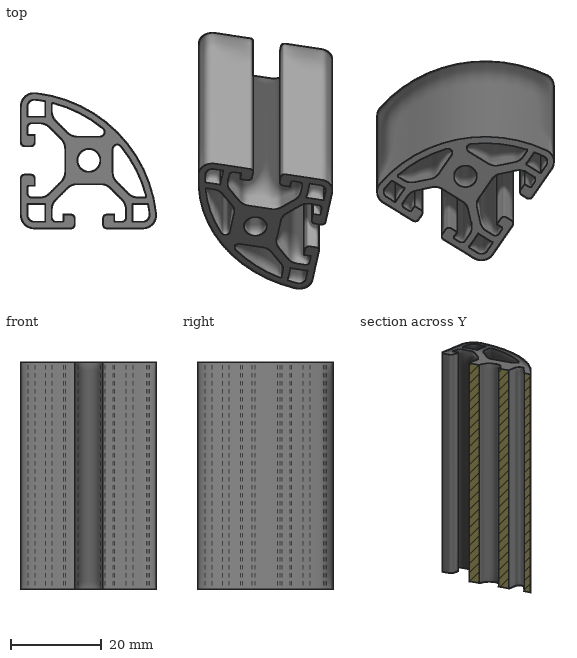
import cadquery as cq
import math

length = 50.0
half_width = 15.0
wall = 1.5
corner_radius = 3.0
bore_diameter = 5.0

mouth_half = 3.1
lip_depth = 3.1
lip_rounding = 0.9
hook_half = 5.6
slot_half = 8.15
hook_rounding = 0.25
slot_corner_rounding = 0.9
bend_rounding = 3.0

core_half = 5.25
diagonal_offset = 1.4
pocket_tip_rounding = 1.0
pocket_end_rounding = 0.25

arc_radius = 2 * half_width
inner_arc_radius = arc_radius - wall
cell_inner = slot_half + wall
cell_outer = half_width - wall
arc_center = (-half_width, -half_width)


def prism(corners):
    """Full-length prism from (x, y, rounding) corners; zero rounding leaves a corner sharp."""
    path = []
    for i, (x, y, radius) in enumerate(corners):
        if radius == 0:
            path.append(((x, y), None, (x, y)))
            continue
        corner = cq.Vector(x, y)
        before = (cq.Vector(*corners[i - 1][:2]) - corner).normalized()
        after = (cq.Vector(*corners[(i + 1) % len(corners)][:2]) - corner).normalized()
        half_angle = before.getAngle(after) / 2
        setback = radius / math.tan(half_angle)
        apex_distance = radius / math.sin(half_angle) - radius
        start = corner + before * setback
        middle = corner + (before + after).normalized() * apex_distance
        end = corner + after * setback
        path.append((start.toTuple()[:2], middle.toTuple()[:2], end.toTuple()[:2]))

    outline = cq.Workplane("XY").moveTo(*path[0][0])
    for i, (start, middle, end) in enumerate(path):
        if i > 0:
            outline = outline.lineTo(*start)
        if middle is not None:
            outline = outline.threePointArc(middle, end)
    return outline.close().extrude(length)


def quarter_round(offset):
    """Solid quarter-round bar with its whole outline moved inward by offset."""
    side = half_width - offset
    square = cq.Workplane("XY").rect(2 * side, 2 * side).extrude(length)
    disc = cq.Workplane("XY").center(*arc_center).circle(arc_radius - offset).extrude(length)
    return square.intersect(disc).edges("|Z").fillet(corner_radius - offset)


def slot():
    """T-slot opening on the -Y face."""
    diagonal_at_core = core_half - diagonal_offset
    diagonal_at_side = slot_half + diagonal_offset
    flare = mouth_half + 2 * lip_rounding
    outside = -half_width - lip_rounding
    right_side = [
        (flare, outside, 0),
        (flare, -half_width, 0),
        (mouth_half, -half_width, lip_rounding),
        (mouth_half, lip_depth - half_width, lip_rounding),
        (hook_half, lip_depth - half_width, 0),
        (hook_half, -cell_outer, hook_rounding),
        (slot_half, -cell_outer, slot_corner_rounding),
        (slot_half, -diagonal_at_side, bend_rounding),
        (diagonal_at_core, -core_half, bend_rounding),
    ]
    left_side = [(-x, y, rounding) for x, y, rounding in reversed(right_side)]
    return prism(right_side + left_side)


def corner_cell(x_side, y_side):
    """Square cell in one corner, following the skin on its outer sides."""
    size = half_width - cell_inner
    middle = cell_inner + size / 2
    block = cq.Workplane("XY").center(x_side * middle, y_side * middle).rect(size, size).extrude(length)
    return block.intersect(quarter_round(wall))


def arc_pocket():
    """Pocket between the core's +Y side and the rounded skin."""
    blank = prism([
        (-slot_half, half_width, 0),
        (-slot_half, slot_half + diagonal_offset, bend_rounding),
        (diagonal_offset - core_half, core_half, bend_rounding),
        (half_width, core_half, 0),
        (half_width, half_width, 0),
    ])
    disc = cq.Workplane("XY").center(*arc_center).circle(inner_arc_radius).extrude(length)
    pocket = blank.intersect(disc)
    pocket = pocket.edges("|Z and >X").fillet(pocket_tip_rounding)
    return pocket.edges("|Z and >Y").fillet(pocket_end_rounding)


def mirrored(body):
    """Copy of body with X and Y swapped, the profile's symmetry."""
    return body.mirror("YZ").rotate((0, 0, 0), (0, 0, 1), -90)


result = quarter_round(0)
for cutter in (slot(), arc_pocket()):
    result = result.cut(cutter).cut(mirrored(cutter))
for x_side, y_side in ((-1, -1), (1, -1), (-1, 1)):
    result = result.cut(corner_cell(x_side, y_side))
result = result.cut(cq.Workplane("XY").circle(bore_diameter / 2).extrude(length))